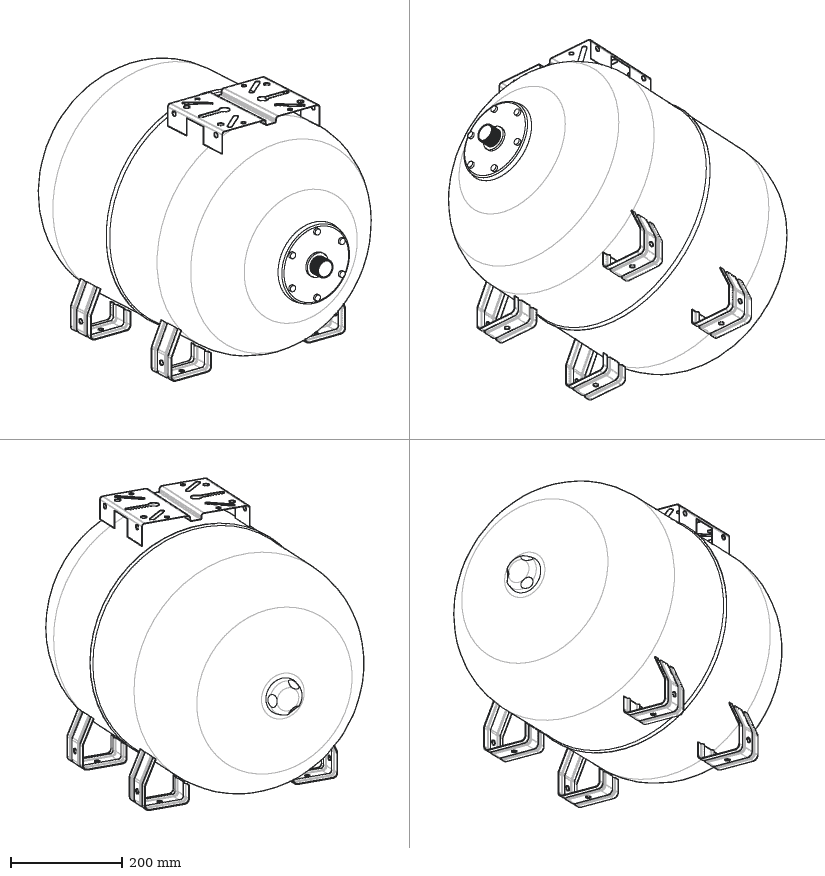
import cadquery as cq
import math


TANK_RADIUS = 225.0
CYLINDER_START = -166.0
CYLINDER_END = 148.0
LEFT_KNUCKLE_X = -281.5
LEFT_KNUCKLE_RADIUS = 157.6
LEFT_CROWN_X = -314.5
LEFT_CROWN_RADIUS = 43.4
RIGHT_KNUCKLE_X = 219.5
RIGHT_KNUCKLE_RADIUS = 203.0
RIGHT_SHOULDER_X = 279.0
RIGHT_SHOULDER_RADIUS = 127.0
NECK_START_X = 300.5
NECK_START_RADIUS = 66.0
NECK_DIAMETER = 107.76
SHOULDER_DIRECTION = (1.0, -2.4)
NECK_DIRECTION = (1.0, -0.3)
BEAD_RADIUS = 227.5
BEAD_HALF_WIDTH = 5.2

PLUG_FACE_X = -334.2
PLUG_FACE_RADIUS = 22.0
PLUG_ROUND_DEPTH = 8.2
PLUG_ROUND_RADIUS = 32.5
PLUG_ROUND_MID = (2.4, 29.2)
PLUG_BASE_RADIUS = 34.5
SCOOP_COUNT = 3
SCOOP_RADIUS = 20.0
SCOOP_CENTER_DEPTH = -4.3
SCOOP_CENTER_RADIUS = 41.6

FLANGE_X = 315.0
FLANGE_BACK_RADIUS = 77.8
FLANGE_FRONT_RADIUS = 76.0
FLANGE_BEVEL = 2.0
FLANGE_THICKNESS = 11.0
FLANGE_FACE_DIAMETER = 145.24
BOLT_COUNT = 6
BOLT_CIRCLE_RADIUS = 64.3
BOLT_DIAMETER = 6.0
BOLT_HEAD_DIAMETER = 12.0
BOLT_HEAD_HEIGHT = 4.5
BOLT_TAIL = 4.0
BOLT_TAIL_CHAMFER = 0.8

NOZZLE_BASE_RADIUS = 23.5
NOZZLE_BASE_HEIGHT = 4.5
OVERALL_LENGTH = 688.44
NOZZLE_END_X = PLUG_FACE_X + OVERALL_LENGTH
NOZZLE_DIAMETER = 35.0
THREAD_ROOT_DIAMETER = 30.25
THREAD_PITCH = 2.31
THREAD_COUNT = 10

SHEET = 1.5
BRACKET_X = 107.3
BRACKET_LENGTH = 164.0
BRACKET_HALF_WIDTH = 110.0
BRACKET_TOP = 240.0
BRACKET_BOTTOM = 196.5
BRACKET_BEND = 6.0
CHANNEL_HALF_WIDTH = 10.5
CHANNEL_FLOOR = 227.6
CHANNEL_BEND = 1.5
NOTCH_WIDTH = 50.5
NOTCH_TOP = 231.0
SIDE_HOLE_DIAMETER = 10.0
SIDE_HOLE_OFFSET = 63.0
SIDE_HOLE_Z = 227.3
KEYHOLE_DIAMETER = 20.0
KEYHOLE_Y = 43.0
KEYHOLE_SLOT_WIDTH = 10.0
KEYHOLE_SLOT_END_Y = 95.5
DIAGONAL_SLOT_WIDTH = 9.0
DIAGONAL_SLOT_INNER = (38.2, 46.0)
DIAGONAL_SLOT_OUTER = (67.8, 82.0)
LARGE_HOLE_DIAMETER = 12.0
LARGE_HOLE_PLACE = (50.8, 89.7)
SMALL_HOLE_DIAMETER = 9.0
SMALL_HOLE_PLACE = (69.5, 52.4)

FOOT_X = 121.5
FOOT_WIDTH = 60.0
FOOT_BOTTOM = -240.0
FOOT_OUTER_Y = 196.0
FOOT_INNER_Y = 105.0
FOOT_KNEE_Z = -191.0
FOOT_TOP = (167.0, -128.0)
FOOT_INNER_TOP_Z = -204.6
FOOT_BEND = 10.0
FOOT_SHEET = 2.0
GROOVE_OFFSET = 15.8
GROOVE_WIDTH = 10.0
GROOVE_LIP_WIDTH = 1.5
GROOVE_LIP_DEPTH = 0.9
FOOT_HOLE_DIAMETER = 10.0
FOOT_SIDE_HOLE_Z = -211.4
FOOT_BASE_HOLE_Y = 150.0

OVERCUT = 5.0


def spin(profile):
    """Closed (x, radius) profile revolved about the tank axis."""
    return profile.close().revolve(360, (0, 0, 0), (1, 0, 0))


def disc(radius, start, end):
    return cq.Workplane("YZ", origin=(start, 0, 0)).circle(radius).extrude(end - start)


def knuckle_middle(x_tangent, x_end, end_radius):
    """Middle point of the arc that leaves the cylinder tangentially and stops at x_end."""
    run = x_end - x_tangent
    drop = TANK_RADIUS - end_radius
    bend = (run**2 + drop**2) / (2 * drop)
    half_angle = math.asin(abs(run) / bend) / 2
    x_middle = x_tangent + math.copysign(bend * math.sin(half_angle), run)
    return (x_middle, TANK_RADIUS - bend * (1 - math.cos(half_angle)))


def make_tank():
    left_end = (LEFT_KNUCKLE_X, LEFT_KNUCKLE_RADIUS)
    right_end = (RIGHT_KNUCKLE_X, RIGHT_KNUCKLE_RADIUS)
    right_dome = (
        cq.Workplane("XY")
        .moveTo(0, 0)
        .lineTo(0, TANK_RADIUS)
        .lineTo(CYLINDER_END, TANK_RADIUS)
        .threePointArc(knuckle_middle(CYLINDER_END, *right_end), right_end)
        .tangentArcPoint((RIGHT_SHOULDER_X, RIGHT_SHOULDER_RADIUS), relative=False)
        .spline(
            [(NECK_START_X, NECK_START_RADIUS), (FLANGE_X, NECK_DIAMETER / 2)],
            tangents=[SHOULDER_DIRECTION, NECK_DIRECTION],
            includeCurrent=True,
        )
        .lineTo(FLANGE_X, 0)
    )
    left_dome = (
        cq.Workplane("XY")
        .moveTo(0, 0)
        .lineTo(0, TANK_RADIUS)
        .lineTo(CYLINDER_START, TANK_RADIUS)
        .threePointArc(knuckle_middle(CYLINDER_START, *left_end), left_end)
        .tangentArcPoint((LEFT_CROWN_X, LEFT_CROWN_RADIUS), relative=False)
        .lineTo(LEFT_CROWN_X, 0)
    )
    bead = (
        cq.Workplane("XY")
        .moveTo(-BEAD_HALF_WIDTH, 0)
        .lineTo(-BEAD_HALF_WIDTH, TANK_RADIUS)
        .threePointArc((0, BEAD_RADIUS), (BEAD_HALF_WIDTH, TANK_RADIUS))
        .lineTo(BEAD_HALF_WIDTH, 0)
    )
    return spin(right_dome).union(spin(left_dome)).union(spin(bead))


def make_plug():
    mid_depth, mid_radius = PLUG_ROUND_MID
    plug = spin(
        cq.Workplane("XY")
        .moveTo(PLUG_FACE_X, 0)
        .lineTo(PLUG_FACE_X, PLUG_FACE_RADIUS)
        .threePointArc(
            (PLUG_FACE_X + mid_depth, mid_radius),
            (PLUG_FACE_X + PLUG_ROUND_DEPTH, PLUG_ROUND_RADIUS),
        )
        .lineTo(LEFT_CROWN_X, PLUG_BASE_RADIUS)
        .lineTo(LEFT_CROWN_X, 0)
    )
    for i in range(SCOOP_COUNT):
        center = (PLUG_FACE_X + SCOOP_CENTER_DEPTH, SCOOP_CENTER_RADIUS, 0)
        scoop = cq.Workplane("XY").sphere(SCOOP_RADIUS).translate(center)
        plug = plug.cut(scoop.rotate((0, 0, 0), (1, 0, 0), i * 360 / SCOOP_COUNT))
    return plug


def make_flange():
    face_x = FLANGE_X + FLANGE_THICKNESS
    flange = spin(
        cq.Workplane("XY")
        .moveTo(FLANGE_X, 0)
        .lineTo(FLANGE_X, FLANGE_BACK_RADIUS)
        .lineTo(face_x - FLANGE_BEVEL, FLANGE_FRONT_RADIUS)
        .lineTo(face_x, FLANGE_FACE_DIAMETER / 2)
        .lineTo(face_x, 0)
    )
    bolt = disc(BOLT_DIAMETER / 2, FLANGE_X - BOLT_TAIL, face_x).faces("<X").chamfer(BOLT_TAIL_CHAMFER)
    bolt = bolt.union(disc(BOLT_HEAD_DIAMETER / 2, face_x, face_x + BOLT_HEAD_HEIGHT))
    bolt = bolt.translate((0, 0, BOLT_CIRCLE_RADIUS))
    for i in range(BOLT_COUNT):
        flange = flange.union(bolt.rotate((0, 0, 0), (1, 0, 0), i * 360 / BOLT_COUNT))
    return flange


def make_nozzle():
    base_x = FLANGE_X + FLANGE_THICKNESS
    thread_depth = (NOZZLE_DIAMETER - THREAD_ROOT_DIAMETER) / 2
    nozzle = disc(NOZZLE_DIAMETER / 2, base_x, NOZZLE_END_X).faces(">X").chamfer(thread_depth / 2)
    nozzle = nozzle.union(disc(NOZZLE_BASE_RADIUS, base_x, base_x + NOZZLE_BASE_HEIGHT))
    crest = NOZZLE_DIAMETER / 2
    for i in range(THREAD_COUNT):
        root_x = NOZZLE_END_X - (i + 0.5) * THREAD_PITCH
        thread_groove = (
            cq.Workplane("XY")
            .moveTo(root_x, THREAD_ROOT_DIAMETER / 2)
            .lineTo(root_x - THREAD_PITCH / 3, crest)
            .lineTo(root_x + THREAD_PITCH / 3, crest)
        )
        nozzle = nozzle.cut(spin(thread_groove))
    return nozzle


def slot_between(start, end, width):
    """Vertical cutter for a round-ended slot between two points of the bracket plate."""
    dx = end[0] - start[0]
    dy = end[1] - start[1]
    length = math.hypot(dx, dy) + width
    middle = ((start[0] + end[0]) / 2, (start[1] + end[1]) / 2)
    return (
        cq.Workplane("XY", origin=(*middle, BRACKET_TOP - SHEET))
        .transformed(rotate=(0, 0, math.degrees(math.atan2(dy, dx))))
        .slot2D(length, width)
        .extrude(2 * SHEET)
    )


def round_cutter(place, diameter):
    plane = cq.Workplane("XY", origin=(*place, BRACKET_TOP - SHEET))
    return plane.circle(diameter / 2).extrude(2 * SHEET)


def quarter_plate_cutters():
    """Openings of the bracket plate in its +X, +Y quarter, about the bracket centre."""
    cutter = slot_between((0, KEYHOLE_Y), (0, KEYHOLE_SLOT_END_Y), KEYHOLE_SLOT_WIDTH)
    cutter = cutter.union(round_cutter((0, KEYHOLE_Y), KEYHOLE_DIAMETER))
    cutter = cutter.union(slot_between(DIAGONAL_SLOT_INNER, DIAGONAL_SLOT_OUTER, DIAGONAL_SLOT_WIDTH))
    cutter = cutter.union(round_cutter(LARGE_HOLE_PLACE, LARGE_HOLE_DIAMETER))
    return cutter.union(round_cutter(SMALL_HOLE_PLACE, SMALL_HOLE_DIAMETER))


def bent_sheet_line(offset):
    """Bracket outline from side to side, moved inwards from the outer skin by offset."""
    side = BRACKET_HALF_WIDTH - offset
    top = BRACKET_TOP - offset
    wall = CHANNEL_HALF_WIDTH + offset
    floor = CHANNEL_FLOOR + SHEET - offset
    right_half = [(side, BRACKET_BOTTOM), (side, top), (wall, top), (wall, floor)]
    left_half = [(-y, z) for y, z in reversed(right_half)]
    return right_half + left_half


def round_bend(bracket, y, z, radius):
    """Bracket with the lengthwise edge at (y, z) rounded."""
    reach = min(SHEET, CHANNEL_BEND) / 4
    corner = cq.selectors.BoxSelector(
        (-BRACKET_LENGTH, y - reach, z - reach), (BRACKET_LENGTH, y + reach, z + reach)
    )
    return bracket.edges(corner).fillet(radius)


def make_bracket():
    outline = bent_sheet_line(0) + bent_sheet_line(SHEET)[::-1]
    bracket = (
        cq.Workplane("YZ", origin=(-BRACKET_LENGTH / 2, 0, 0))
        .polyline(outline)
        .close()
        .extrude(BRACKET_LENGTH)
    )
    for offset in (0, SHEET):
        for y, z in bent_sheet_line(offset):
            if z == BRACKET_TOP - offset:
                bracket = round_bend(bracket, y, z, BRACKET_BEND - offset)
            elif z > BRACKET_BOTTOM:
                bracket = round_bend(bracket, y, z, CHANNEL_BEND + offset)

    quarter = quarter_plate_cutters()
    half = quarter.union(quarter.mirror("YZ"))
    bracket = bracket.cut(half).cut(half.mirror("XZ"))

    notch_height = NOTCH_TOP - BRACKET_BOTTOM + OVERCUT
    for side in (-1, 1):
        notch = cq.Workplane("XY").box(NOTCH_WIDTH, 4 * BRACKET_BEND, notch_height)
        notch = notch.translate((0, side * BRACKET_HALF_WIDTH, NOTCH_TOP - notch_height / 2))
        side_holes = (
            cq.Workplane("XZ", origin=(0, side * BRACKET_HALF_WIDTH - BRACKET_BEND, SIDE_HOLE_Z))
            .pushPoints([(-SIDE_HOLE_OFFSET, 0), (SIDE_HOLE_OFFSET, 0)])
            .circle(SIDE_HOLE_DIAMETER / 2)
            .extrude(-2 * BRACKET_BEND)
        )
        bracket = bracket.cut(notch).cut(side_holes)
    return bracket.translate((BRACKET_X, 0, 0))


def foot_section_side(section, depth, direction):
    """One skin of the grooved strip, drawn along X in the given direction."""
    lip = direction * GROOVE_LIP_WIDTH
    lip_depth = depth + GROOVE_LIP_DEPTH
    for center in (-direction * GROOVE_OFFSET, direction * GROOVE_OFFSET):
        start = center - direction * GROOVE_WIDTH / 2
        end = center + direction * GROOVE_WIDTH / 2
        section = section.lineTo(start, depth)
        section = section.tangentArcPoint((start + lip, lip_depth), relative=False)
        section = section.tangentArcPoint((end - lip, lip_depth), relative=False)
        section = section.tangentArcPoint((end, depth), relative=False)
    return section.lineTo(direction * FOOT_WIDTH / 2, depth)


def make_foot():
    corners = [
        (FOOT_INNER_Y, FOOT_INNER_TOP_Z),
        (FOOT_INNER_Y, FOOT_BOTTOM),
        (FOOT_OUTER_Y, FOOT_BOTTOM),
        (FOOT_OUTER_Y, FOOT_KNEE_Z),
        FOOT_TOP,
    ]
    edges = [
        cq.Edge.makeLine(cq.Vector(0, *a), cq.Vector(0, *b)) for a, b in zip(corners, corners[1:])
    ]
    path = cq.Wire.assembleEdges(edges)
    path = path.fillet(FOOT_BEND, path.Vertices()[1:-1])

    section = cq.Workplane("XY", origin=(0, FOOT_INNER_Y, FOOT_INNER_TOP_Z))
    section = foot_section_side(section.moveTo(-FOOT_WIDTH / 2, 0), 0, 1)
    section = section.lineTo(FOOT_WIDTH / 2, FOOT_SHEET)
    section = foot_section_side(section, FOOT_SHEET, -1)
    foot = section.close().sweep(cq.Workplane("XY").add(path))

    side_hole = (
        cq.Workplane("XZ", origin=(0, FOOT_OUTER_Y + OVERCUT, FOOT_SIDE_HOLE_Z))
        .circle(FOOT_HOLE_DIAMETER / 2)
        .extrude(2 * OVERCUT)
    )
    base_hole = (
        cq.Workplane("XY", origin=(0, FOOT_BASE_HOLE_Y, FOOT_BOTTOM - OVERCUT))
        .circle(FOOT_HOLE_DIAMETER / 2)
        .extrude(2 * OVERCUT)
    )
    return foot.cut(side_hole).cut(base_hole)


result = make_tank().union(make_plug()).union(make_flange()).union(make_nozzle()).union(make_bracket())
foot_pair = make_foot()
foot_pair = foot_pair.union(foot_pair.mirror("XZ"))
for foot_x in (-FOOT_X, FOOT_X):
    result = result.union(foot_pair.translate((foot_x, 0, 0)))